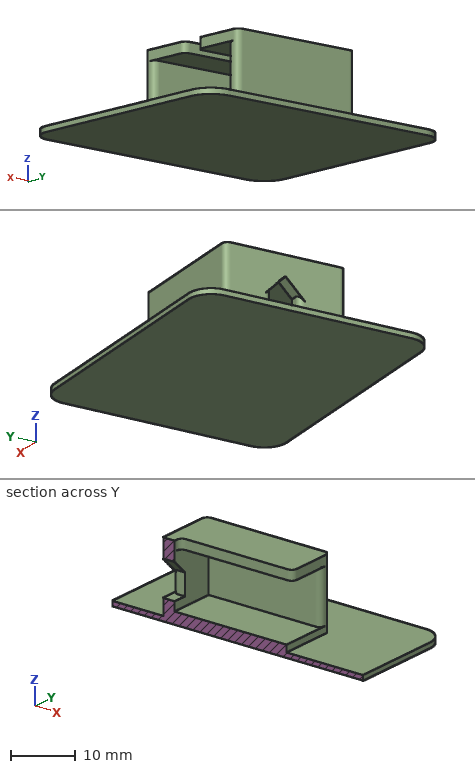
import cadquery as cq
import math

cavity_length = 22.0
cavity_width = 17.0
cavity_height = 10.0
wall = 2.3
roof_thickness = 1.84
edge_radius = 1.0

plate_thickness = 1.0
plate_corner_radius = 4.0
side_margin = 10.0
back_margin = 10.0
front_margin = 15.0

slot_width = 3.0

window_width = 5.0
window_sill_z = 4.0
window_apex_z = 10.5

housing_length = cavity_length + wall
housing_width = cavity_width + 2 * wall
cavity_floor_z = wall
cavity_top_z = cavity_floor_z + cavity_height
total_height = cavity_top_z + roof_thickness

plate_length = housing_length + back_margin + front_margin
plate_width = housing_width + 2 * side_margin
back_x = back_margin - plate_length / 2
front_x = back_x + housing_length
cavity_back_x = back_x + wall


def flared_channel(start_x, end_x, width, bottom_z, height):
    """Channel along X whose side walls round outwards at end_x, where it breaks the surface."""
    inward = 1 if start_x > end_x else -1
    half_width = width / 2
    flare_half_width = half_width + edge_radius
    flare_x = end_x + inward * edge_radius
    arc_shift = edge_radius * (1 - math.cos(math.radians(45)))
    arc_mid_x = end_x + inward * arc_shift
    arc_mid_y = half_width + arc_shift
    return (
        cq.Workplane("XY")
        .workplane(offset=bottom_z)
        .moveTo(start_x, -half_width)
        .lineTo(flare_x, -half_width)
        .threePointArc((arc_mid_x, -arc_mid_y), (end_x, -flare_half_width))
        .lineTo(end_x, flare_half_width)
        .threePointArc((arc_mid_x, arc_mid_y), (flare_x, half_width))
        .lineTo(start_x, half_width)
        .close()
        .extrude(height)
    )


def make_plate():
    return (
        cq.Workplane("XY")
        .box(plate_length, plate_width, plate_thickness, centered=(True, True, False))
        .edges("|Z")
        .fillet(plate_corner_radius)
    )


def make_housing():
    return (
        cq.Workplane("XY")
        .box(housing_length, housing_width, total_height, centered=(True, True, False))
        .edges("|Z")
        .fillet(edge_radius)
        .translate(((back_x + front_x) / 2, 0, 0))
    )


def make_cavity():
    return flared_channel(cavity_back_x, front_x, cavity_width, cavity_floor_z, cavity_height)


def make_roof_slot():
    """Slot over the whole cavity length, with rounded corners at its closed end."""
    slot = flared_channel(cavity_back_x, front_x, slot_width, cavity_top_z, roof_thickness)
    return slot.edges("|Z and <X").fillet(edge_radius)


def make_window():
    """Flared opening trimmed to a vertical-sided shape under a 45 degree gable."""
    gable_height = window_apex_z - window_sill_z
    opening = flared_channel(cavity_back_x, back_x, window_width, window_sill_z, gable_height)
    gable = (
        cq.Workplane("YZ")
        .workplane(offset=back_x)
        .moveTo(-gable_height, window_sill_z)
        .lineTo(gable_height, window_sill_z)
        .lineTo(0, window_apex_z)
        .close()
        .extrude(wall)
    )
    return opening.intersect(gable)


result = make_plate().union(make_housing())
result = result.cut(make_cavity()).cut(make_roof_slot()).cut(make_window())